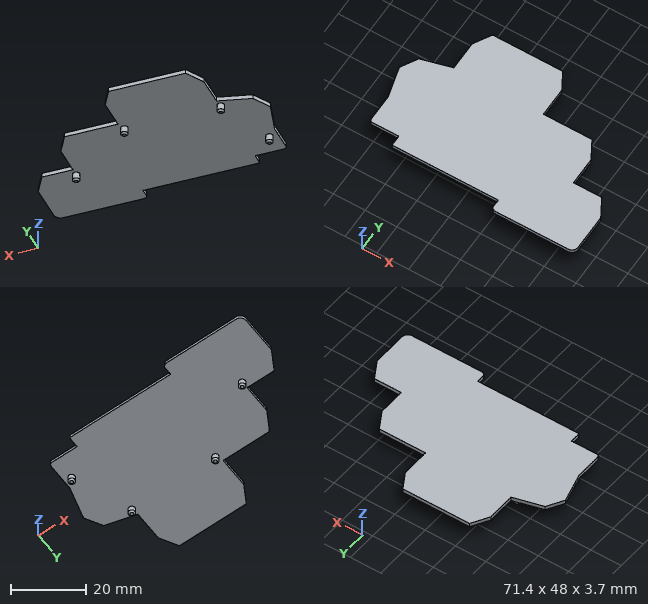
import cadquery as cq
import math

LENGTH = 71.4
WIDTH = 48.0
HEIGHT = 3.7

PLATE_THICKNESS = 1.3
TIER_STEP = 14.5
MIDDLE_TIER_Y = WIDTH - TIER_STEP
LOWER_TIER_Y = MIDDLE_TIER_Y - TIER_STEP
TOP_TIER_LEFT = 12.35
TOP_TIER_RIGHT = 40.6
MIDDLE_TIER_RIGHT = 59.2

CORNER_SLOPE = math.tan(math.radians(60))
TOP_CUT = 3.1
SIDE_CUT = 3.35

WING_TILT = math.tan(math.radians(15))
WING_TOP_X = 2.95
WING_TOP_Y = MIDDLE_TIER_Y - (TOP_TIER_LEFT - WING_TOP_X) * WING_TILT
WING_TIP_Y = WING_TOP_Y - WING_TOP_X * CORNER_SLOPE
LEFT_EDGE_X = 2.6
LEFT_EDGE_TOP_Y = WING_TIP_Y - LEFT_EDGE_X / WING_TILT

LEFT_FOOT_Y = 6.9
CENTER_FOOT_Y = 3.5
CENTER_FOOT_LEFT = 11.8
RIGHT_FOOT_LEFT = 45.2

FOOT_RADIUS = 1.5
LEFT_FOOT_REACH = 1.1
RIGHT_FOOT_REACH = 1.35
CENTER_FOOT_RADIUS = 1.0
CENTER_FOOT_REACH = 0.55
RIGHT_CORNER_RADIUS = 2.0

PIN_DIAMETER = 2.0
PIN_LENGTH = HEIGHT - PLATE_THICKNESS
PIN_CHAMFER = 0.5
PIN_TIER_OFFSET = 2.2
PIN_CENTERS = [
    (5.0, 13.8),
    (12.0, MIDDLE_TIER_Y - PIN_TIER_OFFSET),
    (39.6, MIDDLE_TIER_Y - PIN_TIER_OFFSET),
    (59.1, LOWER_TIER_Y - PIN_TIER_OFFSET),
]


def arc_inset(radius, reach):
    """How far an arc moves away from its tangent line over the given reach."""
    return radius - math.sqrt(radius**2 - reach**2)


def make_plate():
    """Stair-shaped flat plate with rounded lower corners."""
    left_foot_inset = arc_inset(FOOT_RADIUS, LEFT_FOOT_REACH)
    center_foot_inset = arc_inset(CENTER_FOOT_RADIUS, CENTER_FOOT_REACH)
    right_foot_inset = arc_inset(FOOT_RADIUS, RIGHT_FOOT_REACH)

    outline = (
        cq.Workplane("XY")
        .moveTo(LEFT_EDGE_X, LEFT_EDGE_TOP_Y)
        .lineTo(LEFT_EDGE_X, LEFT_FOOT_Y + LEFT_FOOT_REACH)
        .radiusArc((LEFT_EDGE_X + left_foot_inset, LEFT_FOOT_Y), -FOOT_RADIUS)
        .lineTo(CENTER_FOOT_LEFT, LEFT_FOOT_Y)
        .lineTo(CENTER_FOOT_LEFT, CENTER_FOOT_Y + CENTER_FOOT_REACH)
        .radiusArc((CENTER_FOOT_LEFT + center_foot_inset, CENTER_FOOT_Y), -CENTER_FOOT_RADIUS)
        .lineTo(RIGHT_FOOT_LEFT, CENTER_FOOT_Y)
        .lineTo(RIGHT_FOOT_LEFT, right_foot_inset)
        .radiusArc((RIGHT_FOOT_LEFT + RIGHT_FOOT_REACH, 0), -FOOT_RADIUS)
        .lineTo(LENGTH - RIGHT_CORNER_RADIUS, 0)
        .radiusArc((LENGTH, RIGHT_CORNER_RADIUS), -RIGHT_CORNER_RADIUS)
    )
    upper_edge = [
        (LENGTH, LOWER_TIER_Y - SIDE_CUT * CORNER_SLOPE),
        (LENGTH - SIDE_CUT, LOWER_TIER_Y),
        (MIDDLE_TIER_RIGHT, LOWER_TIER_Y),
        (MIDDLE_TIER_RIGHT, MIDDLE_TIER_Y - SIDE_CUT * CORNER_SLOPE),
        (MIDDLE_TIER_RIGHT - SIDE_CUT, MIDDLE_TIER_Y),
        (TOP_TIER_RIGHT, MIDDLE_TIER_Y),
        (TOP_TIER_RIGHT, WIDTH - TOP_CUT * CORNER_SLOPE),
        (TOP_TIER_RIGHT - TOP_CUT, WIDTH),
        (TOP_TIER_LEFT + TOP_CUT, WIDTH),
        (TOP_TIER_LEFT, WIDTH - TOP_CUT * CORNER_SLOPE),
        (TOP_TIER_LEFT, MIDDLE_TIER_Y),
        (WING_TOP_X, WING_TOP_Y),
        (0, WING_TIP_Y),
    ]
    for x, y in upper_edge:
        outline = outline.lineTo(x, y)
    return outline.close().extrude(PLATE_THICKNESS)


def make_pins():
    """Round pins hanging from the underside, with chamfered tips."""
    pins = cq.Workplane("XY").pushPoints(PIN_CENTERS).circle(PIN_DIAMETER / 2).extrude(-PIN_LENGTH)
    return pins.faces("<Z").edges().chamfer(PIN_CHAMFER)


result = make_plate().union(make_pins())